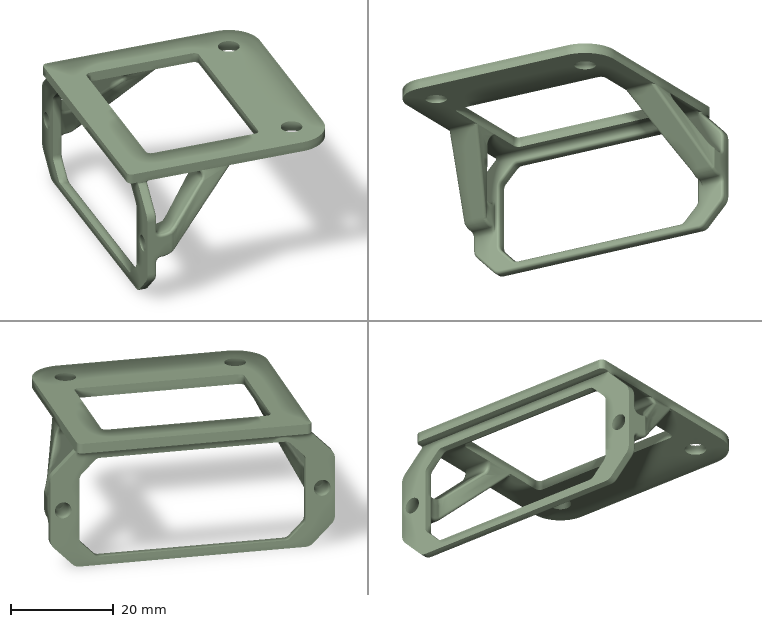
import cadquery as cq
import math

plate_width = 46.95
plate_depth = 43.0
wall = 2.0
total_height = 26.2
plate_bottom = total_height - wall
front_corner_radius = 1.0
hole_inset = 6.5
back_corner_radius = hole_inset
mount_hole_diameter = 4.2
window_border = 6.5
window_depth = 23.35
window_corner_radius = 1.0
window_half_width = plate_width / 2 - window_border

frame_width = 57.0
frame_height = 23.95
frame_setback = 2.0
frame_back = frame_setback + wall
frame_mid_height = frame_height / 2
frame_chamfer = (frame_width - plate_width) / 2
frame_side_radius = 2.5
frame_bottom_radius = 2.0
opening_width = 45.25
opening_height = 20.5
opening_chamfer = 3.5
opening_radius = 1.5

screw_spacing = 51.85
screw_mouth_diameter = 3.3
screw_tip_diameter = 2.2
screw_depth = 4.0

block_size = 5.0
block_outer = frame_width / 2
block_inner = block_outer - block_size
block_back = 7.1
block_bottom = frame_mid_height - block_size / 2
block_top = frame_mid_height + block_size / 2
foot_outer = plate_width / 2
foot_inner = window_half_width
foot_front = 16.7
foot_back = 21.5
brace_root = frame_back - wall / 2
side_margin = 0.55

frame_back_angle = 90
arm_back_angle = 135
bend_radius = 4.0
junction_radius = 1.0
edge_radius = 0.5
crease_radius = 0.55

tiny = 0.005


def box(x_range, y_range, z_range):
    """Axis-aligned box between the given pairs of coordinates."""
    sizes = [high - low for low, high in (x_range, y_range, z_range)]
    corner = (x_range[0], y_range[0], z_range[0])
    return cq.Workplane("XY").box(*sizes, centered=False).translate(corner)


def edges_near(part, x_range, y_range, z_range):
    """Edges lying wholly inside the given coordinate ranges."""
    low = (x_range[0] - tiny, y_range[0] - tiny, z_range[0] - tiny)
    high = (x_range[1] + tiny, y_range[1] + tiny, z_range[1] + tiny)
    return part.edges(cq.selectors.BoxSelector(low, high, boundingbox=True))


def round_edges(part, is_wanted):
    """Round every edge of the part that passes the given test."""
    return part.newObject([edge for edge in part.edges().vals() if is_wanted(edge)]).fillet(edge_radius)


def make_plate():
    """Plate with rounded corners, a window and two mounting holes."""
    plate = box((-plate_width / 2, plate_width / 2), (0, plate_depth), (plate_bottom, total_height))
    plate = plate.edges("|Z and <Y").fillet(front_corner_radius)
    plate = plate.edges("|Z and >Y").fillet(back_corner_radius)
    window = box(
        (-window_half_width, window_half_width),
        (window_border, window_border + window_depth),
        (plate_bottom, total_height),
    )
    plate = plate.cut(window.edges("|Z").fillet(window_corner_radius))
    hole_x = plate_width / 2 - hole_inset
    holes = (
        cq.Workplane("XY", origin=(0, plate_depth - hole_inset, plate_bottom))
        .pushPoints([(-hole_x, 0), (hole_x, 0)])
        .circle(mount_hole_diameter / 2)
        .extrude(wall)
    )
    return plate.cut(holes)


def octagon(width, height, chamfer):
    """Prism of the frame's thickness: a rectangle with 45 degree corners."""
    slab = cq.Workplane("XZ", origin=(0, frame_back, frame_mid_height)).rect(width, height).extrude(wall)
    return slab.edges("|Y").chamfer(chamfer)


def make_frame():
    """Eight-sided open frame with a full-width neck reaching up to the plate."""
    frame = octagon(frame_width, frame_height, frame_chamfer)
    frame = frame.edges("|Y and (<X or >X)").fillet(frame_side_radius)
    frame = frame.edges("|Y and <Z").fillet(frame_bottom_radius)
    neck = box(
        (-plate_width / 2, plate_width / 2),
        (frame_setback, frame_back),
        (frame_mid_height, plate_bottom),
    )
    opening = octagon(opening_width, opening_height, opening_chamfer).edges("|Y").fillet(opening_radius)
    return frame.union(neck).cut(opening).clean()


def make_cove(corner_y, corner_angle, x_start, x_end):
    """Concave blend under the plate, in a corner opening toward +Y by the given angle."""
    reach = junction_radius / math.tan(math.radians(corner_angle / 2))
    lower_y = reach * math.cos(math.radians(corner_angle))
    lower_z = -reach * math.sin(math.radians(corner_angle))
    return (
        cq.Workplane("YZ", origin=(x_start, corner_y, plate_bottom))
        .lineTo(reach, 0)
        .radiusArc((lower_y, lower_z), -junction_radius)
        .close()
        .extrude(x_end - x_start)
    )


def prism(points):
    """Outline in the Y-Z plane swept along X from the centre to past the frame's side."""
    return cq.Workplane("YZ").polyline(points).close().extrude(frame_width)


def edges_at(part, points):
    """Edges of an X-direction prism that pass through the given (Y, Z) corners."""
    picked = part.edges(cq.selectors.NearestToPointSelector((frame_width / 2, *points[0])))
    for point in points[1:]:
        picked = picked.add(part.edges(cq.selectors.NearestToPointSelector((frame_width / 2, *point))))
    return picked


def is_long_edge(edge):
    """True for edges behind the frame's back face, or on it, that run along an outline."""
    bounds = edge.BoundingBox()
    is_behind = bounds.ymin > brace_root + tiny and bounds.zmin < plate_bottom - tiny
    is_off_frame = bounds.ymin > frame_back + tiny
    runs_across = is_off_frame and bounds.ylen < tiny
    at_crease = is_off_frame and bounds.zlen > block_size / 2 and bounds.ylen < crease_radius
    return is_behind and not (runs_across or at_crease)


def is_inner_brace_edge(edge):
    """True for long edges on the side of the brace that faces the middle of the part."""
    middle = edge.Center()
    way_up = max(0, (middle.y - block_back) / (foot_back - block_back))
    block_center = (block_inner + block_outer) / 2
    foot_center = (foot_inner + foot_outer) / 2
    return is_long_edge(edge) and abs(middle.x) < block_center + way_up * (foot_center - block_center)


def is_exposed_edge(edge):
    """True for the frame's back edges and the outer long edges of the braces."""
    middle = edge.Center()
    on_back_face = middle.y < frame_back + tiny
    beside_block = abs(middle.z - frame_mid_height) < block_size / 2 + junction_radius + tiny
    inside_leg = beside_block and opening_width / 2 + tiny < abs(middle.x) < frame_width / 2 - tiny
    if on_back_face:
        return is_long_edge(edge) and not inside_leg
    return is_long_edge(edge) and not is_inner_brace_edge(edge)


def make_brace_profile():
    """Side outline of the brace, joined to strips of the frame and the plate."""
    frame_low = (frame_back, block_bottom)
    frame_high = (frame_back, block_top)
    frame_top = (frame_back, plate_bottom)
    back_bend = (foot_back - (plate_bottom - block_bottom), block_bottom)
    front_bend = (foot_front - (plate_bottom - block_top), block_top)
    back_foot = (foot_back, plate_bottom)
    front_foot = (foot_front, plate_bottom)

    outline = prism(
        [
            (frame_setback, 0),
            (frame_setback, total_height),
            (plate_depth, total_height),
            (plate_depth, plate_bottom),
            back_foot,
            back_bend,
            frame_low,
            (frame_back, 0),
        ]
    )
    outline = edges_at(outline, [back_bend]).fillet(bend_radius)
    outline = edges_at(outline, [frame_low]).fillet(junction_radius)
    gap = prism([frame_high, front_bend, front_foot, frame_top])
    gap = edges_at(gap, [front_bend]).fillet(bend_radius)
    gap = edges_at(gap, [frame_high, front_foot, frame_top]).fillet(junction_radius)
    return outline.cut(gap)


def make_brace_sides():
    """Oversized solid whose twisted side faces bound the brace across its width."""
    z_margin = side_margin * block_size
    y_margin = side_margin * (foot_back - foot_front)
    low = block_bottom - z_margin
    high = block_top + z_margin
    front = foot_front - y_margin
    back = foot_back + y_margin
    block_end = [(block_inner, low), (block_outer, low), (block_outer, high), (block_inner, high)]
    foot = [(foot_inner, back), (foot_outer, back), (foot_outer, front), (foot_inner, front)]
    loft = cq.Solid.makeLoft(
        [
            cq.Wire.makePolygon([cq.Vector(x, block_back, z) for x, z in block_end], close=True),
            cq.Wire.makePolygon([cq.Vector(x, y, plate_bottom) for x, y in foot], close=True),
        ],
        True,
    )
    block = box((block_inner, block_outer), (brace_root, block_back), (low, high))
    return block.union(cq.Workplane(obj=loft))


def make_brace():
    """Brace on the +X side, with its inner long edges rounded."""
    brace = make_brace_profile().intersect(make_brace_sides())
    creases = edges_near(brace, (0, frame_width), (block_back, block_back), (0, plate_bottom)).edges("|Z")
    brace = creases.fillet(crease_radius)
    return round_edges(brace, is_inner_brace_edge)


def make_screw_hole():
    """Blind tapered hole on the +X side, narrowing toward the back."""
    return cq.Workplane(
        obj=cq.Solid.makeCone(
            screw_mouth_diameter / 2,
            screw_tip_diameter / 2,
            screw_depth,
            cq.Vector(screw_spacing / 2, frame_setback, frame_mid_height),
            cq.Vector(0, 1, 0),
        )
    )


brace = make_brace()
brace_cove = make_cove(foot_back, arm_back_angle, foot_inner + edge_radius, foot_outer - edge_radius)
frame_cove_end = plate_width / 2 - edge_radius
frame_cove = make_cove(frame_back, frame_back_angle, -frame_cove_end, frame_cove_end)
screw_hole = make_screw_hole()

body = make_frame().union(brace).union(brace.mirror("YZ"))
body = round_edges(body, is_exposed_edge)
result = body.union(make_plate()).union(frame_cove)
result = result.union(brace_cove).union(brace_cove.mirror("YZ"))
result = result.cut(screw_hole).cut(screw_hole.mirror("YZ")).solids()